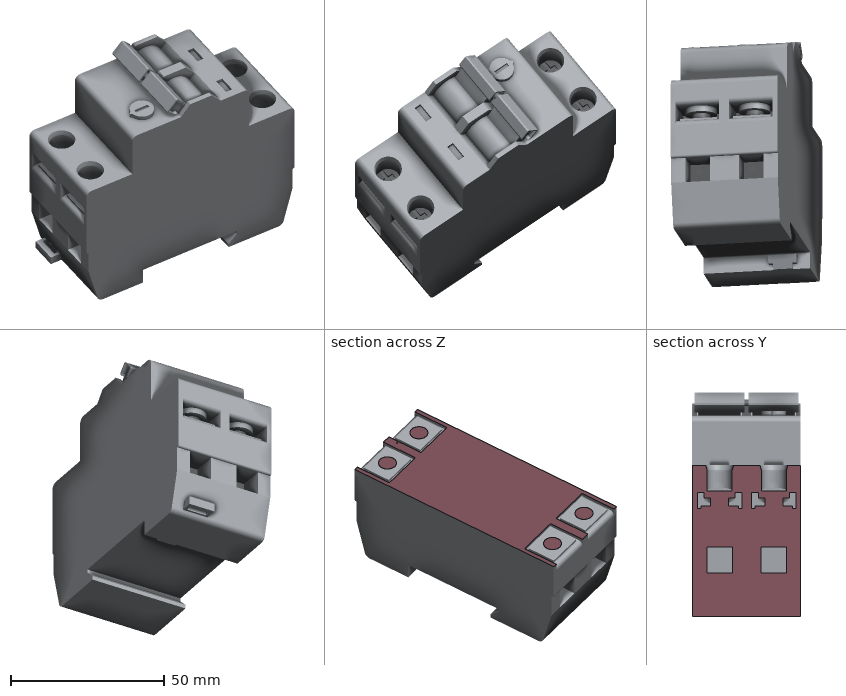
import cadquery as cq


WIDTH = 35.4
POLE_PITCH = WIDTH / 2
POLES = (-POLE_PITCH / 2, POLE_PITCH / 2)
HALF_LENGTH = 39.9
FOOT_SETBACK = 0.8
FOOT_HALF_BOTTOM = 35.3
TAPER_TOP = 14.3
SETBACK_TOP = 22.6
TERMINAL_TOP = 49.3
RAISED_HALF = 22.4
RAISED_TOP = 65.4
EDGE_RADIUS = 2.0
STEP_RADIUS = 0.7

RAIL_TOP = 5.5
RAIL_BACK = 17.8
RAIL_FRONT = -18.3
HOOK_REACH = 3.2
HOOK_LOW = 1.4
HOOK_HIGH = 4.3
RAIL_CORNER_RADIUS = 0.5

HUMP_TOP = 69.3
HUMP_BACK_BOTTOM = 11.5
HUMP_BACK_TOP = 8.1
HUMP_FRONT_TOP = -0.2
HUMP_FRONT_BOTTOM = -3.7

SLOT_WIDTH = 14.4
SLOT_BACK = 11.7
SLOT_DEPTH = 4.0
TOGGLE_Y = 3.6
TOGGLE_Z = 60.8
TOGGLE_RADIUS = 6.3
TOGGLE_WIDTH = 14.1
TOGGLE_TILT = 45.0
STALK_WIDTH = 13.5
STALK_THICKNESS = 4.3
GRIP_OFFSET = 12.4
GRIP_WIDTH = 16.3
GRIP_LENGTH = 5.7
GRIP_THICKNESS = 4.5
GRIP_FACE_CHAMFER = 0.4
GRIP_LIP_CHAMFER = 0.7
GRIP_FACE_WALL = 0.52
LINK_PIN_DIAMETER = 2.2

SCREW_Y = 33.0
SCREW_HOLE_DIAMETER = 8.0
HOLE_MOUTH_DIAMETER = 9.0
HOLE_MOUTH_DEPTH = 1.6
CAVITY_BOTTOM = 35.4
CAVITY_TOP = 40.4
CAVITY_DEPTH = 12.8
WINDOW_BOTTOM = 33.6
WINDOW_TOP = 41.8
HEAD_DIAMETER = 10.3
HEAD_BOTTOM = 38.5
HEAD_TOP = 40.8
DOME_HEIGHT = 1.2
NECK_DIAMETER = 6.0
PLATE_WIDTH = 12.3
PLATE_LENGTH = 10.1
PLATE_TOP = 36.2
CROSS_LONG_WIDTH = 1.3
CROSS_SHORT_WIDTH = 1.7
CROSS_SHORT_LENGTH = 4.7
CROSS_BOTTOM = 41.0

POCKET_WIDTH = 8.2
POCKET_DEPTH = 9.6

INDICATOR_WIDTH = 6.2
INDICATOR_LENGTH = 2.3
INDICATOR_SHIFT = 3.0
INDICATOR_Y = 16.5
INDICATOR_DEPTH = 1.2

BUTTON_Y = -13.2
BUTTON_DIAMETER = 8.0
BUTTON_HEIGHT = 1.5
POINTER_TIP = 4.8
POINTER_HALF_WIDTH = 1.6
BUTTON_SLOT_WIDTH = 1.3
BUTTON_SLOT_LENGTH = 5.1
BUTTON_SLOT_DEPTH = 0.8

LATCH_WIDTH = 9.4
LATCH_BOTTOM = 1.8
LATCH_TOP = 4.6
LATCH_FRONT = -40.1
LATCH_TIP = -15.5
LATCH_TIP_Z = 3.9
LATCH_TIP_TOP = -16.5
LATCH_HEEL = -17.5
HEEL_WIDTH = 6.4
LATCH_EYE_WIDTH = 7.2
LATCH_EYE_WALL = 2.0
LATCH_EYE_LENGTH = 1.5


def prism(points, x_middle, width):
    """Extrude a Y-Z outline by width, centred on x_middle."""
    outline = cq.Workplane("YZ", origin=(x_middle, 0, 0)).polyline(points).close()
    return outline.extrude(width / 2, both=True)


def block(x_size, y_size, bottom, top, x=0, y=0):
    """Upright box centred on (x, y) between two heights."""
    return cq.Workplane("XY", origin=(x, y, bottom)).rect(x_size, y_size).extrude(top - bottom)


def cylinder(diameter, bottom, top, x, y):
    """Upright cylinder between two heights."""
    return cq.Workplane("XY", origin=(x, y, bottom)).circle(diameter / 2).extrude(top - bottom)


def make_housing():
    foot_half = HALF_LENGTH - FOOT_SETBACK
    front = [
        (-FOOT_HALF_BOTTOM, 0),
        (-foot_half, TAPER_TOP),
        (-foot_half, SETBACK_TOP),
        (-HALF_LENGTH, SETBACK_TOP),
        (-HALF_LENGTH, TERMINAL_TOP),
        (-RAISED_HALF, TERMINAL_TOP),
        (-RAISED_HALF, RAISED_TOP),
    ]
    back = [(-y, z) for y, z in reversed(front)]
    rail = [
        (RAIL_BACK - HOOK_REACH, 0),
        (RAIL_BACK - HOOK_REACH, HOOK_LOW),
        (RAIL_BACK, HOOK_HIGH),
        (RAIL_BACK, RAIL_TOP),
        (RAIL_FRONT, RAIL_TOP),
        (RAIL_FRONT, 0),
    ]
    housing = prism(front + back + rail, 0, WIDTH)

    def edges_at(y, z):
        half = WIDTH / 2 + 0.8
        return cq.selectors.BoxSelector((-half, y - 0.1, z - 0.1), (half, y + 0.1, z + 0.1))

    for side in (-1, 1):
        for y, z in (
            (FOOT_HALF_BOTTOM, 0),
            (HALF_LENGTH, TERMINAL_TOP),
            (RAISED_HALF, RAISED_TOP),
        ):
            housing = housing.edges(edges_at(side * y, z)).fillet(EDGE_RADIUS)
        housing = housing.edges(edges_at(side * HALF_LENGTH, SETBACK_TOP)).fillet(STEP_RADIUS)
    housing = housing.edges(edges_at(RAIL_FRONT, RAIL_TOP)).fillet(RAIL_CORNER_RADIUS)

    hump = [
        (HUMP_BACK_BOTTOM, RAISED_TOP),
        (HUMP_BACK_TOP, HUMP_TOP),
        (HUMP_FRONT_TOP, HUMP_TOP),
        (HUMP_FRONT_BOTTOM, RAISED_TOP),
    ]
    return housing.union(prism(hump, 0, WIDTH))


def toggle_slot(x):
    """Slot through the hump whose end walls slope inwards at 45 degrees."""
    slot = [
        (SLOT_BACK, RAISED_TOP),
        (SLOT_BACK, HUMP_TOP),
        (HUMP_FRONT_BOTTOM, HUMP_TOP),
        (HUMP_FRONT_BOTTOM, RAISED_TOP),
        (HUMP_FRONT_BOTTOM + SLOT_DEPTH, RAISED_TOP - SLOT_DEPTH),
        (SLOT_BACK - SLOT_DEPTH, RAISED_TOP - SLOT_DEPTH),
    ]
    return prism(slot, x, SLOT_WIDTH)


def make_toggle(x):
    """Barrel with a stalk and grip, modelled upright and tilted towards -Y."""
    barrel = cq.Workplane("YZ", origin=(x, 0, 0)).circle(TOGGLE_RADIUS).extrude(TOGGLE_WIDTH / 2, both=True)
    grip = (
        cq.Workplane("XY", origin=(x, 0, GRIP_OFFSET))
        .box(GRIP_WIDTH, GRIP_LENGTH, GRIP_THICKNESS)
        .edges("|X and >Z")
        .chamfer(GRIP_FACE_CHAMFER)
        .edges("|X and <Z")
        .chamfer(GRIP_LIP_CHAMFER)
    )
    hollow_top = GRIP_OFFSET + GRIP_THICKNESS / 2 - GRIP_FACE_WALL
    hollow = block(GRIP_WIDTH, STALK_THICKNESS, GRIP_OFFSET - GRIP_THICKNESS / 2, hollow_top, x)
    hollow = hollow.edges("|X and <Z").chamfer(GRIP_LIP_CHAMFER)
    grip = grip.cut(hollow)
    stalk = block(STALK_WIDTH, STALK_THICKNESS, 0, hollow_top, x)
    toggle = barrel.union(stalk).union(grip)
    return toggle.rotate((0, 0, 0), (1, 0, 0), TOGGLE_TILT).translate((0, TOGGLE_Y, TOGGLE_Z))


def make_link_pin():
    pin = (
        cq.Workplane("YZ", origin=(0, 0, GRIP_OFFSET))
        .circle(LINK_PIN_DIAMETER / 2)
        .extrude(POLE_PITCH / 2, both=True)
    )
    return pin.rotate((0, 0, 0), (1, 0, 0), TOGGLE_TILT).translate((0, TOGGLE_Y, TOGGLE_Z))


def terminal_opening(x):
    """Front window with flared lips, the cavity behind it and the screw hole above."""
    low_lip = CAVITY_BOTTOM - WINDOW_BOTTOM
    high_lip = WINDOW_TOP - CAVITY_TOP
    back = CAVITY_DEPTH - HALF_LENGTH
    cavity = (
        cq.Workplane("YZ", origin=(x, 0, 0))
        .moveTo(-HALF_LENGTH, WINDOW_BOTTOM)
        .radiusArc((low_lip - HALF_LENGTH, CAVITY_BOTTOM), low_lip)
        .lineTo(back, CAVITY_BOTTOM)
        .lineTo(back, CAVITY_TOP)
        .lineTo(high_lip - HALF_LENGTH, CAVITY_TOP)
        .radiusArc((-HALF_LENGTH, WINDOW_TOP), high_lip)
        .close()
        .extrude(SLOT_WIDTH / 2, both=True)
    )
    hole = cylinder(SCREW_HOLE_DIAMETER, CAVITY_TOP, TERMINAL_TOP, x, -SCREW_Y)
    mouth = (
        cq.Workplane("XY", origin=(x, -SCREW_Y, TERMINAL_TOP))
        .circle(HOLE_MOUTH_DIAMETER / 2)
        .workplane(offset=-HOLE_MOUTH_DEPTH)
        .circle(SCREW_HOLE_DIAMETER / 2)
        .loft()
    )
    return cavity.union(hole).union(mouth)


def make_screw(x):
    """Cross-slotted domed screw standing on its clamp plate."""
    radius = HEAD_DIAMETER / 2
    screw = (
        cq.Workplane("XZ", origin=(x, -SCREW_Y, 0))
        .moveTo(0, CAVITY_BOTTOM)
        .lineTo(NECK_DIAMETER / 2, CAVITY_BOTTOM)
        .lineTo(NECK_DIAMETER / 2, HEAD_BOTTOM)
        .lineTo(radius, HEAD_BOTTOM)
        .lineTo(radius, HEAD_TOP)
        .radiusArc((0, HEAD_TOP + DOME_HEIGHT), -(radius**2 + DOME_HEIGHT**2) / (2 * DOME_HEIGHT))
        .close()
        .revolve(360, (0, 0, 0), (0, 1, 0))
    )
    cross_top = HEAD_TOP + DOME_HEIGHT
    screw = screw.cut(block(SCREW_HOLE_DIAMETER, CROSS_LONG_WIDTH, CROSS_BOTTOM, cross_top, x, -SCREW_Y))
    screw = screw.cut(block(CROSS_SHORT_WIDTH, CROSS_SHORT_LENGTH, CROSS_BOTTOM, cross_top, x, -SCREW_Y))
    plate = block(PLATE_WIDTH, PLATE_LENGTH, CAVITY_BOTTOM, PLATE_TOP, x, -SCREW_Y)
    return screw.union(plate)


def wire_pocket(x):
    y = POCKET_DEPTH / 2 - HALF_LENGTH
    return block(POCKET_WIDTH, POCKET_DEPTH, TAPER_TOP, SETBACK_TOP, x, y)


def indicator_window(x):
    return block(
        INDICATOR_WIDTH,
        INDICATOR_LENGTH,
        RAISED_TOP - INDICATOR_DEPTH,
        RAISED_TOP,
        x + INDICATOR_SHIFT,
        INDICATOR_Y,
    )


def make_button():
    x = POLES[1]
    top = RAISED_TOP + BUTTON_HEIGHT
    button = cylinder(BUTTON_DIAMETER, RAISED_TOP, top, x, BUTTON_Y)
    base = POINTER_HALF_WIDTH - POINTER_TIP
    pointer = (
        cq.Workplane("XY", origin=(x, BUTTON_Y, RAISED_TOP))
        .polyline([(-POINTER_HALF_WIDTH, base), (0, -POINTER_TIP), (POINTER_HALF_WIDTH, base)])
        .close()
        .extrude(BUTTON_HEIGHT)
    )
    slot = block(BUTTON_SLOT_WIDTH, BUTTON_SLOT_LENGTH, top - BUTTON_SLOT_DEPTH, top, x, BUTTON_Y)
    return button.union(pointer).cut(slot)


def make_latch():
    """Rail latch through the foot: pull eye in front, bevelled tip in the rail recess."""
    x = POLES[0]
    slope = (LATCH_TIP - LATCH_HEEL) / LATCH_TIP_Z
    underside = LATCH_HEEL + slope * LATCH_BOTTOM
    bar = [
        (LATCH_FRONT, LATCH_BOTTOM),
        (LATCH_FRONT, LATCH_TOP),
        (LATCH_TIP_TOP, LATCH_TOP),
        (LATCH_TIP, LATCH_TIP_Z),
        (underside, LATCH_BOTTOM),
    ]
    heel = [(RAIL_FRONT, 0), (RAIL_FRONT, LATCH_BOTTOM), (underside, LATCH_BOTTOM), (LATCH_HEEL, 0)]
    eye_y = LATCH_FRONT + LATCH_EYE_WALL + LATCH_EYE_LENGTH / 2
    eye = block(LATCH_EYE_WIDTH, LATCH_EYE_LENGTH, LATCH_BOTTOM, LATCH_TOP, x, eye_y)
    return prism(bar, x, LATCH_WIDTH).cut(eye).union(prism(heel, x, HEEL_WIDTH))


result = make_housing()

for pole in POLES:
    result = result.cut(toggle_slot(pole)).cut(indicator_window(pole))
    for feature in (terminal_opening(pole), wire_pocket(pole)):
        result = result.cut(feature).cut(feature.mirror("XZ"))
    screw = make_screw(pole)
    result = result.union(screw).union(screw.mirror("XZ")).union(make_toggle(pole))

result = result.union(make_link_pin()).union(make_button()).union(make_latch())